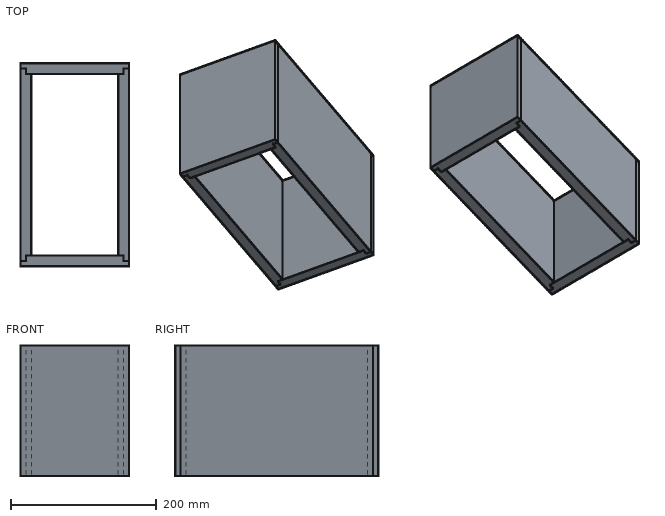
import cadquery as cq

WIDTH = 150.0
LENGTH = 280.0
HEIGHT = 180.0

THICKNESS = 15.0
LAP = THICKNESS / 2


def end_panel(side):
    """End panel across X, rabbeted along both inner edges; side is -1 or +1 along Y."""
    outer_y = side * LENGTH / 2
    lap_y = outer_y - side * LAP
    inner_y = outer_y - side * THICKNESS
    outer_x = WIDTH / 2
    tongue_x = outer_x - LAP
    outline = [
        (-outer_x, outer_y),
        (outer_x, outer_y),
        (outer_x, lap_y),
        (tongue_x, lap_y),
        (tongue_x, inner_y),
        (-tongue_x, inner_y),
        (-tongue_x, lap_y),
        (-outer_x, lap_y),
    ]
    return cq.Workplane("XY").polyline(outline).close().extrude(HEIGHT)


def side_panel(side):
    """Side panel along Y, whose outer half laps the end panels; side is -1 or +1 along X."""
    outer_x = side * WIDTH / 2
    lap_x = outer_x - side * LAP
    inner_x = outer_x - side * THICKNESS
    lip_y = LENGTH / 2 - LAP
    shoulder_y = LENGTH / 2 - THICKNESS
    outline = [
        (outer_x, -lip_y),
        (outer_x, lip_y),
        (lap_x, lip_y),
        (lap_x, shoulder_y),
        (inner_x, shoulder_y),
        (inner_x, -shoulder_y),
        (lap_x, -shoulder_y),
        (lap_x, -lip_y),
    ]
    return cq.Workplane("XY").polyline(outline).close().extrude(HEIGHT)


end_panels = [end_panel(side).val() for side in (-1, 1)]
side_panels = [side_panel(side).val() for side in (-1, 1)]

result = cq.Compound.makeCompound([*end_panels, *side_panels])